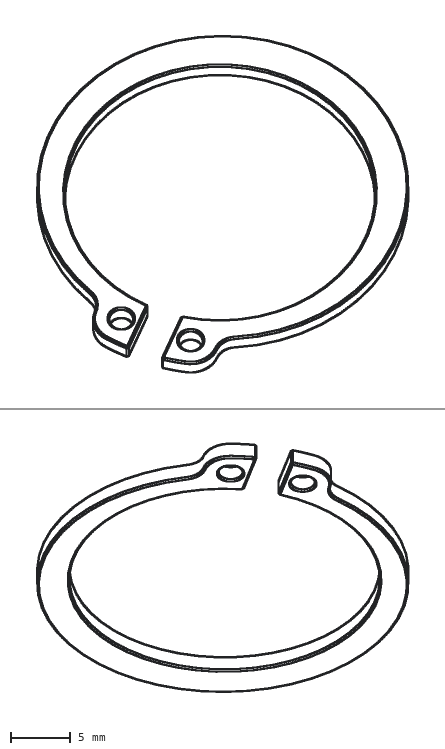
import cadquery as cq
import math

thickness = 1.5
outer_radius = 15.5
outer_offset = 0.65
bore_radius = 12.95
gap_half_width = 1.48
edge_chamfer = 0.15
hole_diameter = 2.0
hole_x = 3.1
hole_y = -14.95
neck_radius = 1.75
overall_length = 33.7

tip_x = gap_half_width + edge_chamfer
tip_y = outer_offset + outer_radius - overall_length
tip_radius = math.hypot(tip_x, tip_y)

hole_distance = math.hypot(hole_x, hole_y)
lug_radius = tip_radius - hole_distance

ring_to_hole_y = hole_y - outer_offset
ring_to_hole = math.hypot(hole_x, ring_to_hole_y)
ring_to_neck = outer_radius + neck_radius
hole_to_neck = lug_radius + neck_radius
neck_angle_at_ring = math.acos(
    (ring_to_hole**2 + ring_to_neck**2 - hole_to_neck**2) / (2 * ring_to_hole * ring_to_neck)
)
neck_direction = math.atan2(ring_to_hole_y, hole_x) + neck_angle_at_ring
neck_x = ring_to_neck * math.cos(neck_direction)
neck_y = outer_offset + ring_to_neck * math.sin(neck_direction)


def toward(start, end, distance):
    """Point at a distance from start in the direction of end."""
    step = distance / math.dist(start, end)
    return (start[0] + step * (end[0] - start[0]), start[1] + step * (end[1] - start[1]))


def arc_middle(center, start, end):
    """Middle of the shorter arc from start to end about center."""
    chord_middle = toward(start, end, math.dist(start, end) / 2)
    return toward(center, chord_middle, math.dist(center, start))


def mirrored(point):
    return (-point[0], point[1])


def on_circle_below(radius, x):
    return (x, -math.sqrt(radius**2 - x**2))


def make_blank():
    """Open eccentric ring with a lug at each end."""
    bore_center = (0, 0)
    ring_center = (0, outer_offset)
    hole_center = (hole_x, hole_y)
    neck_center = (neck_x, neck_y)

    ring_end = toward(ring_center, neck_center, outer_radius)
    neck_end = toward(neck_center, hole_center, neck_radius)
    lug_end = toward(bore_center, hole_center, tip_radius)
    tip = on_circle_below(tip_radius, gap_half_width)
    bore_end = on_circle_below(bore_radius, gap_half_width)

    neck_mid = arc_middle(neck_center, ring_end, neck_end)
    lug_mid = arc_middle(hole_center, neck_end, lug_end)
    tip_mid = on_circle_below(tip_radius, (lug_end[0] + gap_half_width) / 2)

    return (
        cq.Workplane("XY")
        .moveTo(*mirrored(ring_end))
        .threePointArc((0, outer_offset + outer_radius), ring_end)
        .threePointArc(neck_mid, neck_end)
        .threePointArc(lug_mid, lug_end)
        .threePointArc(tip_mid, tip)
        .lineTo(*bore_end)
        .threePointArc((0, bore_radius), mirrored(bore_end))
        .lineTo(*mirrored(tip))
        .threePointArc(mirrored(tip_mid), mirrored(lug_end))
        .threePointArc(mirrored(lug_mid), mirrored(neck_end))
        .threePointArc(mirrored(neck_mid), mirrored(ring_end))
        .close()
        .extrude(thickness)
    )


def chamfer_gap_corners(body):
    """Bevel the four upright corners beside the gap."""
    corners = cq.selectors.BoxSelector(
        (-tip_x, -overall_length, 0), (tip_x, 0, thickness)
    )
    return body.edges("|Z").edges(corners).chamfer(edge_chamfer)


def cut_lug_holes(body):
    holes = (
        cq.Workplane("XY")
        .pushPoints([(-hole_x, hole_y), (hole_x, hole_y)])
        .circle(hole_diameter / 2)
        .extrude(thickness)
    )
    return body.cut(holes)


ring = cut_lug_holes(chamfer_gap_corners(make_blank()))
result = ring.faces(">Z or <Z").edges().chamfer(edge_chamfer)